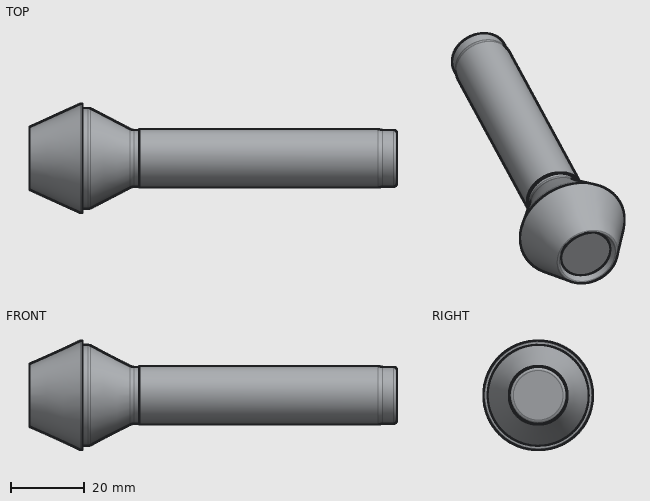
import cadquery as cq
import math

nose_length = 14.5
nose_diameter = 29.85
nose_cone_angle = math.radians(24.5)
nose_edge_radius = 0.4

lip_radius = 0.4
mouth_taper_angle = math.radians(30)
core_diameter = 14.0

overall_length = 100.0
collar_diameter = 27.5
collar_end_x = 16.0
collar_blend_radius = 1.5
stem_cone_angle = math.radians(27.5)

neck_diameter = 15.5
neck_blend_radius = 2.5
shank_diameter = 16.0
shank_start_x = 30.0
shank_end_x = 94.8
spigot_start_x = 96.0
end_round_radius = 1.0


def point_on_circle(center, radius, angle):
    """Point at an angle measured from +X in the axial half plane."""
    return (center[0] + radius * math.cos(angle), center[1] + radius * math.sin(angle))


def revolve_about_x(profile):
    return profile.close().revolve(360, (0, 0, 0), (1, 0, 0))


edge_center = (nose_length - nose_edge_radius, nose_diameter / 2 - nose_edge_radius)
nose_cone_normal = math.pi / 2 + nose_cone_angle

lip_center_drop = (edge_center[0] - lip_radius) * math.tan(nose_cone_angle)
lip_center_offset = (nose_edge_radius - lip_radius) / math.cos(nose_cone_angle)
lip_center = (lip_radius, edge_center[1] + lip_center_offset - lip_center_drop)
mouth_start = point_on_circle(lip_center, lip_radius, 3 * math.pi / 2 - mouth_taper_angle)

core_radius = core_diameter / 2
core_end_x = mouth_start[0] + (mouth_start[1] - core_radius) / math.tan(mouth_taper_angle)


def make_nose():
    profile = (
        cq.Workplane("XY")
        .moveTo(core_end_x, core_radius)
        .lineTo(*mouth_start)
        .threePointArc(
            (0, lip_center[1]),
            point_on_circle(lip_center, lip_radius, nose_cone_normal),
        )
        .lineTo(*point_on_circle(edge_center, nose_edge_radius, nose_cone_normal))
        .threePointArc(
            point_on_circle(edge_center, nose_edge_radius, nose_cone_normal / 2),
            (nose_length, edge_center[1]),
        )
        .lineTo(nose_length, core_radius)
    )
    return revolve_about_x(profile)


def make_stem():
    collar_radius = collar_diameter / 2
    neck_radius = neck_diameter / 2
    shank_radius = shank_diameter / 2

    half_angle_tangent = math.tan(stem_cone_angle / 2)
    cone_start_x = collar_end_x + collar_blend_radius * half_angle_tangent
    cone_end_x = cone_start_x + (collar_radius - neck_radius) / math.tan(stem_cone_angle)
    neck_start_x = cone_end_x + neck_blend_radius * half_angle_tangent
    collar_center = (collar_end_x, collar_radius - collar_blend_radius)
    neck_center = (neck_start_x, neck_radius + neck_blend_radius)
    outward = math.pi / 2 - stem_cone_angle
    inward = -math.pi / 2 - stem_cone_angle

    groove_end_x = shank_start_x - (shank_radius - neck_radius)
    end_center = (overall_length - end_round_radius, neck_radius - end_round_radius)

    profile = (
        cq.Workplane("XY")
        .moveTo(core_end_x, 0)
        .lineTo(core_end_x, core_radius)
        .lineTo(nose_length, core_radius)
        .lineTo(nose_length, collar_radius)
        .lineTo(collar_end_x, collar_radius)
        .threePointArc(
            point_on_circle(collar_center, collar_blend_radius, outward + stem_cone_angle / 2),
            point_on_circle(collar_center, collar_blend_radius, outward),
        )
        .lineTo(*point_on_circle(neck_center, neck_blend_radius, inward))
        .threePointArc(
            point_on_circle(neck_center, neck_blend_radius, inward + stem_cone_angle / 2),
            (neck_start_x, neck_radius),
        )
        .lineTo(groove_end_x, neck_radius)
        .lineTo(shank_start_x, shank_radius)
        .lineTo(shank_end_x, shank_radius)
        .lineTo(spigot_start_x, neck_radius)
        .lineTo(end_center[0], neck_radius)
        .threePointArc(
            point_on_circle(end_center, end_round_radius, math.pi / 4),
            (overall_length, end_center[1]),
        )
        .lineTo(overall_length, 0)
    )
    return revolve_about_x(profile)


nose = make_nose()
stem = make_stem()
result = cq.Compound.makeCompound([nose.val(), stem.val()])